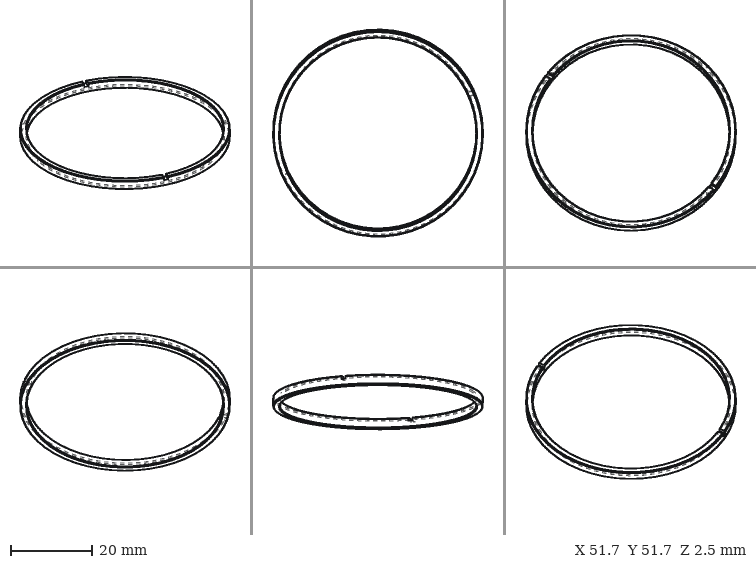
import cadquery as cq

outer_diameter = 51.7
inner_diameter = 48.3
height = 2.5
edge_chamfer = 0.25

notch_width = 1.1
notch_depth = 0.85


def make_ring():
    """Flat ring with every circular edge chamfered."""
    ring = cq.Workplane("XY").circle(outer_diameter / 2).circle(inner_diameter / 2).extrude(height)
    return ring.edges("%CIRCLE").chamfer(edge_chamfer)


def make_notch_cutter():
    """Bar along X that cuts both opposite notches in the top face."""
    return (
        cq.Workplane("XY")
        .workplane(offset=height - notch_depth)
        .rect(outer_diameter, notch_width)
        .extrude(notch_depth)
    )


result = make_ring().cut(make_notch_cutter())